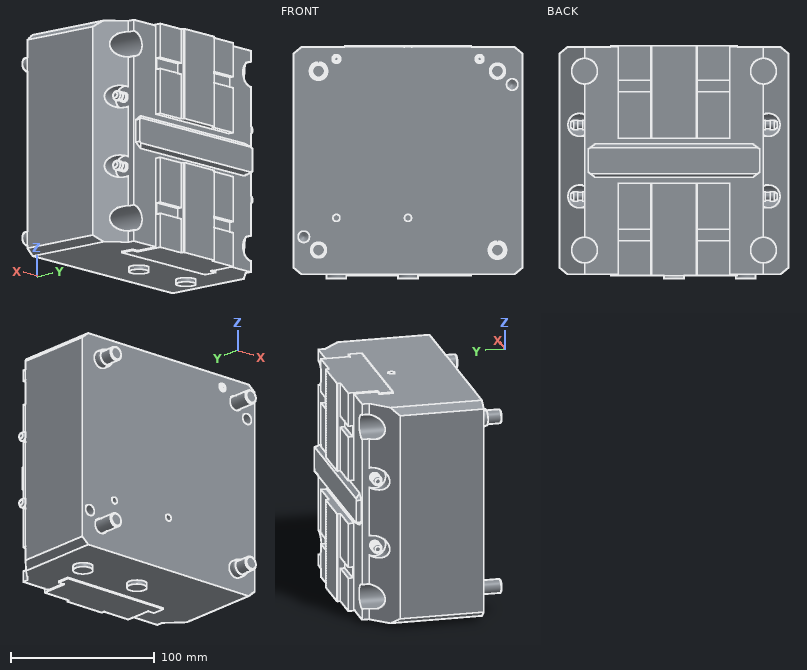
import cadquery as cq
import math


BODY_WIDTH = 160.0
BODY_HEIGHT = 159.0
BODY_DEPTH = 83.3
SIDE_DEPTH = 60.5
LEDGE_HALF_WIDTH = 62.2
CORNER_CUT_X = 5.6
CORNER_CUT_Z = 4.7
EDGE_HALF_HEIGHT = BODY_HEIGHT / 2

CARRIER_HALF_WIDTH = 38.8
CARRIER_BACK = 87.3
CARRIER_FOOT_HALF_WIDTH = 44.2
CARRIER_FOOT_BACK = 66.2
CARRIER_FRONT = 56.3
RIB_HALF_WIDTH = 16.3
RIB_BACK = 89.7
RIB_CHAMFER = 0.6
CARRIER_INNER = 15.8
CARRIER_OUTER = 80.34
CROSS_SLOT_Z = 52.0
CROSS_SLOT_WIDTH = 8.0
CROSS_SLOT_FLOOR = 84.1

BAR_HALF_LENGTH = 60.0
BAR_BACK = 86.8
BAR_BASE_HALF_HEIGHT = 11.7
BAR_TOP_HALF_HEIGHT = 9.0
BAR_CORNER_Z = 8.0
BAR_CORNER_RUN = 5.0

BOLT_PITCH = 125.0
BOLT_DIAMETER = 10.0
BOLT_TIP_DIAMETER = 8.57
BOLT_REACH = 16.3
BOLT_HOLE_DIAMETER = 11.0
BOLT_GAP_DEPTH = 10.0
HEAD_BORE_DIAMETER = 18.0
HEAD_BORE_FLOOR = 20.0

SLEEVE_DIAMETER = 12.7
SLEEVE_END_DIAMETER = 11.6
SLEEVE_STRAIGHT = 4.0
SLEEVE_LENGTH = 6.0
SLEEVE_SLOT = 2.0

DOWEL_X, DOWEL_Z = 72.8, 53.2
DOWEL_DIAMETER = 8.0
PORT_DIAMETER = 4.92
PORT_Z = -40.0
HOLE_DEPTH = 10.0
DRILL_POINT_ANGLE = 118.0
SCREW_X, SCREW_Z = 50.0, 71.0
SCREW_HOLE_DIAMETER = 6.0
SCREW_DIAMETER = 4.92
SCREW_SOCKET_DIAMETER = 3.0
SCREW_RECESS = 2.0

TOP_HOLE_Y = 46.3
PLUG_XS = (-50.0, 0.0)
PLUG_Y = 33.6
PLUG_DIAMETER = 14.0
PLUG_HEIGHT = 3.0

NIPPLE_Y = 74.4
NIPPLE_Z = 25.0
SPOTFACE_DIAMETER = 16.0
NIPPLE_DIAMETER = 6.65
NIPPLE_NECK_DIAMETER = 5.6
NIPPLE_TIP_DIAMETER = 4.92
NIPPLE_END_DIAMETER = 4.0
NIPPLE_COLLAR_END = 1.5
NIPPLE_NECK_END = 5.0
NIPPLE_HEAD_END = 8.0
NIPPLE_TIP_START = 9.2
NIPPLE_LENGTH = 9.8


def box(x0, x1, y0, y1, z0, z1):
    return cq.Workplane("XY").box(x1 - x0, y1 - y0, z1 - z0, centered=False).translate((x0, y0, z0))


def rod(diameter, x, z, y0, y1):
    """Cylinder along Y between depths y0 and y1."""
    return cq.Workplane(cq.Solid.makeCylinder(diameter / 2, y1 - y0, cq.Vector(x, y0, z), cq.Vector(0, 1, 0)))


def drill(diameter, depth, start, direction):
    """Blind hole with a conical drill point."""
    direction = cq.Vector(*direction)
    start = cq.Vector(*start)
    radius = diameter / 2
    point = radius / math.tan(math.radians(DRILL_POINT_ANGLE / 2))
    bore = cq.Solid.makeCylinder(radius, depth, start, direction)
    tip = cq.Solid.makeCone(radius, 0, point, start + direction * depth, direction)
    return cq.Workplane(bore).union(cq.Workplane(tip))


def housing():
    half = BODY_WIDTH / 2
    slope_end = SIDE_DEPTH + half - LEDGE_HALF_WIDTH
    section = [
        (-half, 0),
        (half, 0),
        (half, SIDE_DEPTH),
        (LEDGE_HALF_WIDTH, slope_end),
        (LEDGE_HALF_WIDTH, BODY_DEPTH),
        (-LEDGE_HALF_WIDTH, BODY_DEPTH),
        (-LEDGE_HALF_WIDTH, slope_end),
        (-half, SIDE_DEPTH),
    ]
    prism = cq.Workplane("XY").polyline(section).close().extrude(EDGE_HALF_HEIGHT, both=True)
    flat_x = half - CORNER_CUT_X
    flat_z = EDGE_HALF_HEIGHT - CORNER_CUT_Z
    outline = [
        (-half, -flat_z),
        (-flat_x, -EDGE_HALF_HEIGHT),
        (flat_x, -EDGE_HALF_HEIGHT),
        (half, -flat_z),
        (half, flat_z),
        (flat_x, EDGE_HALF_HEIGHT),
        (-flat_x, EDGE_HALF_HEIGHT),
        (-half, flat_z),
    ]
    return prism.intersect(cq.Workplane("XZ").polyline(outline).close().extrude(-BODY_DEPTH))


def upper_carrier():
    carrier = box(-CARRIER_HALF_WIDTH, CARRIER_HALF_WIDTH, CARRIER_FRONT, CARRIER_BACK,
                  CARRIER_INNER, CARRIER_OUTER)
    foot = box(-CARRIER_FOOT_HALF_WIDTH, CARRIER_FOOT_HALF_WIDTH, CARRIER_FRONT, CARRIER_FOOT_BACK,
               CARRIER_INNER, CARRIER_OUTER)
    rib = box(-RIB_HALF_WIDTH, RIB_HALF_WIDTH, CARRIER_FRONT, RIB_BACK, CARRIER_INNER, CARRIER_OUTER)
    rib = rib.faces(">Y").edges("|Z").chamfer(RIB_CHAMFER)
    slot = box(-CARRIER_HALF_WIDTH, CARRIER_HALF_WIDTH, CROSS_SLOT_FLOOR, CARRIER_BACK,
               CROSS_SLOT_Z - CROSS_SLOT_WIDTH / 2, CROSS_SLOT_Z + CROSS_SLOT_WIDTH / 2)
    return carrier.cut(slot).union(foot).union(rib)


def centre_bar():
    section = [
        (BODY_DEPTH, -BAR_BASE_HALF_HEIGHT),
        (BAR_BACK, -BAR_TOP_HALF_HEIGHT),
        (BAR_BACK, BAR_TOP_HALF_HEIGHT),
        (BODY_DEPTH, BAR_BASE_HALF_HEIGHT),
    ]
    bar = cq.Workplane("YZ").polyline(section).close().extrude(BAR_HALF_LENGTH, both=True)
    end = BAR_HALF_LENGTH - BAR_CORNER_RUN
    plan = [
        (-BAR_HALF_LENGTH, -BAR_CORNER_Z),
        (-end, -BAR_BASE_HALF_HEIGHT),
        (end, -BAR_BASE_HALF_HEIGHT),
        (BAR_HALF_LENGTH, -BAR_CORNER_Z),
        (BAR_HALF_LENGTH, BAR_CORNER_Z),
        (end, BAR_BASE_HALF_HEIGHT),
        (-end, BAR_BASE_HALF_HEIGHT),
        (-BAR_HALF_LENGTH, BAR_CORNER_Z),
    ]
    return bar.intersect(cq.Workplane("XZ").polyline(plan).close().extrude(-BAR_BACK))


def bolt(x, z):
    tip_chamfer = (BOLT_DIAMETER - BOLT_TIP_DIAMETER) / 2
    return rod(BOLT_DIAMETER, x, z, -BOLT_REACH, BOLT_GAP_DEPTH).faces("<Y").chamfer(tip_chamfer)


def sleeve(x, z):
    straight = rod(SLEEVE_DIAMETER, x, z, -SLEEVE_STRAIGHT, 0)
    lead_in = cq.Solid.makeCone(SLEEVE_DIAMETER / 2, SLEEVE_END_DIAMETER / 2, SLEEVE_LENGTH - SLEEVE_STRAIGHT,
                                cq.Vector(x, -SLEEVE_STRAIGHT, z), cq.Vector(0, -1, 0))
    slot = box(x - SLEEVE_SLOT / 2, x + SLEEVE_SLOT / 2, -SLEEVE_LENGTH, 0, z, z + SLEEVE_DIAMETER)
    bore = rod(BOLT_HOLE_DIAMETER, x, z, -SLEEVE_LENGTH, 0)
    return straight.union(cq.Workplane(lead_in)).cut(slot).cut(bore)


def add_bolts(body):
    half = BOLT_PITCH / 2
    for x in (-half, half):
        for z in (-half, half):
            body = body.cut(rod(HEAD_BORE_DIAMETER, x, z, HEAD_BORE_FLOOR, BODY_DEPTH))
            has_sleeve = x * z < 0
            if has_sleeve:
                body = body.union(sleeve(x, z))
            body = body.cut(rod(BOLT_HOLE_DIAMETER, x, z, 0, BOLT_GAP_DEPTH)).union(bolt(x, z))
    return body


def cut_mounting_face_holes(body):
    for side in (-1, 1):
        body = body.cut(drill(DOWEL_DIAMETER, HOLE_DEPTH, (side * DOWEL_X, 0, side * DOWEL_Z), (0, 1, 0)))
        x = side * SCREW_X
        gap = rod(SCREW_HOLE_DIAMETER, x, SCREW_Z, 0, SCREW_RECESS)
        gap = gap.cut(rod(SCREW_DIAMETER, x, SCREW_Z, 0, SCREW_RECESS))
        body = body.cut(gap).cut(rod(SCREW_SOCKET_DIAMETER, x, SCREW_Z, 0, SCREW_RECESS))
    for x in PLUG_XS:
        body = body.cut(rod(PORT_DIAMETER, x, PORT_Z, 0, HOLE_DEPTH))
    return body


def plug(x):
    base = cq.Vector(x, PLUG_Y, -EDGE_HALF_HEIGHT)
    return cq.Workplane(cq.Solid.makeCylinder(PLUG_DIAMETER / 2, PLUG_HEIGHT, base, cq.Vector(0, 0, -1)))


def nipple():
    """Grease nipple along +X standing on the plane X = 0."""
    head = NIPPLE_DIAMETER / 2
    neck = NIPPLE_NECK_DIAMETER / 2
    tip = NIPPLE_TIP_DIAMETER / 2
    end = NIPPLE_END_DIAMETER / 2
    profile = [
        (0, 0),
        (0, head),
        (NIPPLE_COLLAR_END, head),
        (NIPPLE_COLLAR_END, neck),
        (NIPPLE_NECK_END, neck),
        (NIPPLE_NECK_END, head),
        (NIPPLE_HEAD_END, head),
        (NIPPLE_TIP_START, tip),
        (NIPPLE_LENGTH, end),
        (NIPPLE_LENGTH, 0),
    ]
    return cq.Workplane("XY").polyline(profile).close().revolve(360, (0, 0, 0), (1, 0, 0))


def add_nipples(body):
    for side in (-1, 1):
        for z in (-NIPPLE_Z, NIPPLE_Z):
            base = (side * LEDGE_HALF_WIDTH, NIPPLE_Y, z)
            spotface = cq.Solid.makeCylinder(SPOTFACE_DIAMETER / 2, BODY_WIDTH / 2 - LEDGE_HALF_WIDTH,
                                             cq.Vector(*base), cq.Vector(side, 0, 0))
            fitting = nipple()
            if side < 0:
                fitting = fitting.mirror("YZ")
            body = body.cut(cq.Workplane(spotface)).union(fitting.translate(base))
    return body


result = add_bolts(housing())
result = result.union(upper_carrier()).union(upper_carrier().mirror("XY")).union(centre_bar())
result = cut_mounting_face_holes(result)
result = result.cut(drill(PORT_DIAMETER, HOLE_DEPTH, (0, TOP_HOLE_Y, CARRIER_OUTER), (0, 0, -1)))
for plug_x in PLUG_XS:
    result = result.union(plug(plug_x))
result = add_nipples(result)